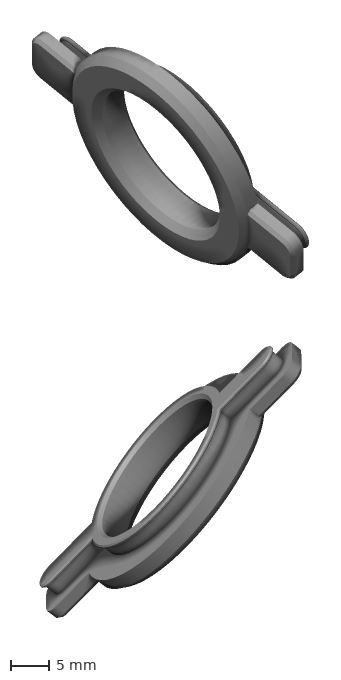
import cadquery as cq

RING_DIAMETER = 33.0
BORE_DIAMETER = 22.0
RING_CHAMFER = 1.0
REAR_BORE_CHAMFER = 0.5
TOTAL_DEPTH = 5.5
RING_DEPTH = 3.0

TAB_SPAN = 49.0
TAB_HEIGHT = 8.0
TAB_DEPTH = 2.0
TAB_CORNER_RADIUS = 2.0
TAB_CHAMFER = 0.5

COLLAR_DIAMETER = 25.0
KEY_SPAN = 45.45
KEY_HEIGHT = 3.5
LIP_OVERHANG = 0.4
LIP_DEPTH = 0.6
LIP_CHAMFER = 0.2

BACK_DEPTH = TOTAL_DEPTH - RING_DEPTH


def plane_at(y):
    """XZ sketch plane at the given Y; positive extrusion runs toward -Y."""
    return cq.Workplane("XZ", origin=(0, y, 0))


def make_ring():
    """Front disc with its outer front edge chamfered."""
    disc = plane_at(RING_DEPTH).circle(RING_DIAMETER / 2).extrude(RING_DEPTH)
    return disc.faces("<Y").chamfer(RING_CHAMFER)


def make_tabs():
    """Rounded bar through the ring, flush with the back of the ring."""
    bar = plane_at(RING_DEPTH).rect(TAB_SPAN, TAB_HEIGHT).extrude(TAB_DEPTH)
    bar = bar.edges("|Y").fillet(TAB_CORNER_RADIUS)
    return bar.faces("<Y").chamfer(TAB_CHAMFER)


def make_collar_and_key(back_y, depth, overhang=0.0):
    """Round collar joined to a round-ended key bar, grown outward by overhang."""
    sketch_plane = plane_at(back_y)
    collar = sketch_plane.circle(COLLAR_DIAMETER / 2 + overhang).extrude(depth)
    key = sketch_plane.slot2D(KEY_SPAN + 2 * overhang, KEY_HEIGHT + 2 * overhang).extrude(depth)
    return collar.union(key)


def make_lip():
    """Rim at the rear end, chamfered on its front and back edges."""
    lip = make_collar_and_key(TOTAL_DEPTH, LIP_DEPTH, LIP_OVERHANG)
    return lip.faces("<Y or >Y").chamfer(LIP_CHAMFER)


def make_entry_cone(mouth_y, inward, size):
    """Cone that chamfers one end of the bore, narrowing in the inward Y direction."""
    cone = cq.Solid.makeCone(
        BORE_DIAMETER / 2 + size,
        BORE_DIAMETER / 2,
        size,
        pnt=cq.Vector(0, mouth_y, 0),
        dir=cq.Vector(0, inward, 0),
    )
    return cq.Workplane(obj=cone)


def make_bore():
    """Through bore with a wide front chamfer and a small rear chamfer."""
    bore = plane_at(TOTAL_DEPTH).circle(BORE_DIAMETER / 2).extrude(TOTAL_DEPTH)
    front_entry = make_entry_cone(0, 1, RING_CHAMFER)
    rear_entry = make_entry_cone(TOTAL_DEPTH, -1, REAR_BORE_CHAMFER)
    return bore.union(front_entry).union(rear_entry)


result = (
    make_ring()
    .union(make_tabs())
    .union(make_collar_and_key(TOTAL_DEPTH, BACK_DEPTH))
    .union(make_lip())
    .cut(make_bore())
)